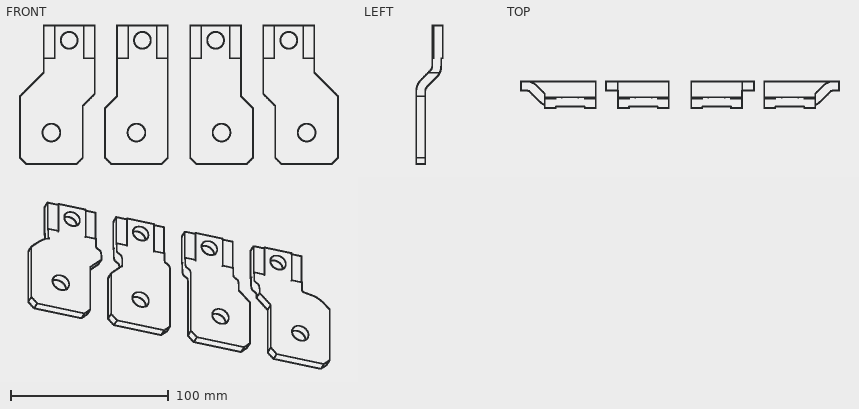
import cadquery as cq
import math


ROW_LENGTH = 202.0
TOTAL_DEPTH = 17.0
BAR_HEIGHT = 88.0

PLATE_WIDTH = 40.0
PLATE_PITCH = (ROW_LENGTH - PLATE_WIDTH) / 3
TAB_PITCH = 46.5
OUTER_PLATE_X = -1.5 * PLATE_PITCH
INNER_PLATE_X = -0.5 * PLATE_PITCH
OUTER_TAB_X = -1.5 * TAB_PITCH
INNER_TAB_X = -0.5 * TAB_PITCH

TAB_WIDTH = PLATE_WIDTH - 2 * (INNER_TAB_X - INNER_PLATE_X)
CORNER_CHAMFER = 4.0
THICKNESS = 5.9

JOGGLE_ANGLE = math.radians(45)
INNER_RADIUS = 4.0
OUTER_RADIUS = INNER_RADIUS + THICKNESS
JOGGLE_START_Z = 46.3

STRIP_OFFSET = 1.0
STRIP_HEIGHT = 21.0
STRIP_GAP = 18.2
STRIP_WIDTH = (TAB_WIDTH - STRIP_GAP) / 2

TAB_OFFSET = TOTAL_DEPTH - THICKNESS - STRIP_OFFSET

OUTER_SHOULDER_Z = 43.0
OUTER_UNDERCUT_Z = 37.0
INNER_SHOULDER_Z = 35.5

PLATE_HOLE_DIAMETER = 11.1
PLATE_HOLE_Z = 20.0
TAB_HOLE_DIAMETER = 10.5
TAB_HOLE_Z = 78.5


def arc_from_vertical(wire, start_y, start_z, radius, y_side, z_side):
    """Draw a bend arc leaving a vertical face; y_side and z_side are the signs of its travel."""
    def at(angle):
        y = start_y + y_side * radius * (1 - math.cos(angle))
        z = start_z + z_side * radius * math.sin(angle)
        return y, z

    return wire.threePointArc(at(JOGGLE_ANGLE / 2), at(JOGGLE_ANGLE))


def arc_to_vertical(wire, end_y, end_z, radius, y_side, z_side):
    """Draw a bend arc joining a vertical face; y_side and z_side point from its end to its start."""
    def at(angle):
        y = end_y + y_side * radius * (1 - math.cos(angle))
        z = end_z + z_side * radius * math.sin(angle)
        return y, z

    return wire.lineTo(*at(JOGGLE_ANGLE)).threePointArc(at(JOGGLE_ANGLE / 2), (end_y, end_z))


def joggled_sheet():
    """Side profile of a bar, swept over the whole row."""
    bend_depth = (INNER_RADIUS + OUTER_RADIUS) * (1 - math.cos(JOGGLE_ANGLE))
    bend_height = (INNER_RADIUS + OUTER_RADIUS) * math.sin(JOGGLE_ANGLE)
    slope_height = (TAB_OFFSET - bend_depth) / math.tan(JOGGLE_ANGLE)
    end_z = JOGGLE_START_Z + bend_height + slope_height
    plate_front = -THICKNESS
    tab_back = -TAB_OFFSET
    tab_front = tab_back - THICKNESS

    wire = cq.Workplane("YZ", origin=(-ROW_LENGTH / 2, 0, 0))
    wire = wire.moveTo(0, 0).lineTo(plate_front, 0).lineTo(plate_front, JOGGLE_START_Z)
    wire = arc_from_vertical(wire, plate_front, JOGGLE_START_Z, INNER_RADIUS, -1, 1)
    wire = arc_to_vertical(wire, tab_front, end_z, OUTER_RADIUS, 1, -1)
    wire = wire.lineTo(tab_front, BAR_HEIGHT).lineTo(tab_back, BAR_HEIGHT).lineTo(tab_back, end_z)
    wire = arc_from_vertical(wire, tab_back, end_z, INNER_RADIUS, 1, -1)
    wire = arc_to_vertical(wire, 0, JOGGLE_START_Z, OUTER_RADIUS, -1, 1)
    return wire.close().extrude(ROW_LENGTH)


def side_edges(centre_x, width):
    """Left and right X of a plate or tab."""
    return centre_x - width / 2, centre_x + width / 2


def plate_bottom(plate_x):
    """Outline points of the chamfered plate bottom, from the left side to the right side."""
    left, right = side_edges(plate_x, PLATE_WIDTH)
    return [
        (left, CORNER_CHAMFER),
        (left + CORNER_CHAMFER, 0),
        (right - CORNER_CHAMFER, 0),
        (right, CORNER_CHAMFER),
    ]


def outer_outline():
    """Front outline of the left outer bar, whose tab overhangs the plate toward the middle."""
    plate_left, plate_right = side_edges(OUTER_PLATE_X, PLATE_WIDTH)
    tab_left, tab_right = side_edges(OUTER_TAB_X, TAB_WIDTH)
    return plate_bottom(OUTER_PLATE_X) + [
        (plate_right, OUTER_UNDERCUT_Z),
        (tab_right, OUTER_UNDERCUT_Z + tab_right - plate_right),
        (tab_right, BAR_HEIGHT),
        (tab_left, BAR_HEIGHT),
        (tab_left, OUTER_SHOULDER_Z + tab_left - plate_left),
        (plate_left, OUTER_SHOULDER_Z),
    ]


def inner_outline():
    """Front outline of the left inner bar, straight along its side facing the middle."""
    plate_left = side_edges(INNER_PLATE_X, PLATE_WIDTH)[0]
    tab_left, tab_right = side_edges(INNER_TAB_X, TAB_WIDTH)
    return plate_bottom(INNER_PLATE_X) + [
        (tab_right, BAR_HEIGHT),
        (tab_left, BAR_HEIGHT),
        (tab_left, INNER_SHOULDER_Z + tab_left - plate_left),
        (plate_left, INNER_SHOULDER_Z),
    ]


def tab_strips(tab_x, front_y):
    """Two slabs, one strip offset thick, covering both side strips of a tab behind front_y."""
    strip_spacing = STRIP_GAP + STRIP_WIDTH
    centres = [(tab_x + side * strip_spacing / 2, BAR_HEIGHT - STRIP_HEIGHT / 2) for side in (-1, 1)]
    return (
        cq.Workplane("XZ", origin=(0, front_y, 0))
        .pushPoints(centres)
        .rect(STRIP_WIDTH, STRIP_HEIGHT)
        .extrude(-STRIP_OFFSET)
    )


def bolt_hole(x, z, diameter):
    """Cylinder along Y through the full depth of a bar."""
    return cq.Workplane("XZ").center(x, z).circle(diameter / 2).extrude(TOTAL_DEPTH)


def connector_bar(outline, plate_x, tab_x):
    """Joggled bar trimmed to its outline, with forward side strips and two bolt holes."""
    blank = cq.Workplane("XZ").polyline(outline).close().extrude(TOTAL_DEPTH)
    bar = joggled_sheet().intersect(blank)
    bar = bar.union(tab_strips(tab_x, -TOTAL_DEPTH))
    bar = bar.cut(tab_strips(tab_x, -TAB_OFFSET - STRIP_OFFSET))
    bar = bar.cut(bolt_hole(plate_x, PLATE_HOLE_Z, PLATE_HOLE_DIAMETER))
    return bar.cut(bolt_hole(tab_x, TAB_HOLE_Z, TAB_HOLE_DIAMETER))


outer_bar = connector_bar(outer_outline(), OUTER_PLATE_X, OUTER_TAB_X)
inner_bar = connector_bar(inner_outline(), INNER_PLATE_X, INNER_TAB_X)

bars = []
for left_bar in (outer_bar, inner_bar):
    bars.append(left_bar.val())
    bars.append(left_bar.mirror("YZ").val())

result = cq.Compound.makeCompound(bars)